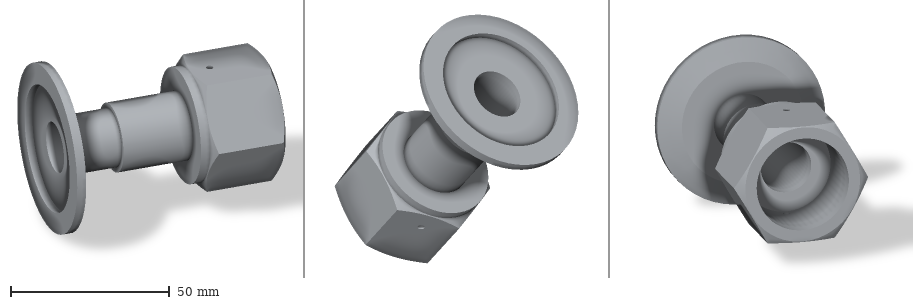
import cadquery as cq
import math


bore_diameter = 16.51
tube_diameter = 19.0

flange_diameter = 55.0
flange_recess_diameter = 41.2
flange_recess_depth = 2.6
flange_rim_thickness = 3.0
flange_taper_angle = 15.0
flange_thickness = 5.0
flange_taper_height = flange_thickness - flange_rim_thickness
flange_taper_width = flange_taper_height / math.tan(math.radians(flange_taper_angle))
flange_back_radius = flange_diameter / 2 - flange_taper_width

tube_end = 21.5
nut_start = 44.7
hex_start = 47.75
gland_end = 54.1
nut_end = 73.11

gland_diameter = 22.35
gland_head_diameter = 29.21
gland_head_length = 4.0
gland_shoulder = gland_end - gland_head_length

hex_across_flats = 38.1
hex_across_corners = hex_across_flats / math.cos(math.radians(30))
nut_collar_diameter = 37.59
nut_clearance_diameter = 22.61
nut_bore_diameter = 30.22
hex_chamfer_angle = 30.0
hex_chamfer_width = (hex_across_corners - nut_collar_diameter) / 2
hex_chamfer_length = hex_chamfer_width * math.tan(math.radians(hex_chamfer_angle))
vent_diameter = 2.29
vent_position = 54.5


def cylinder(diameter, start, end):
    """Solid cylinder about the Y axis between two stations."""
    return cq.Workplane("XZ", origin=(0, start, 0)).circle(diameter / 2).extrude(start - end)


def turned(profile):
    """Solid of revolution about the Y axis from (radius, station) points."""
    return cq.Workplane("XY").polyline(profile).close().revolve(360, (0, 0, 0), (0, 1, 0))


def make_flange():
    """Clamp flange with a tapered back, a recessed face and a hole for the tube."""
    blank = turned([
        (0, 0),
        (flange_diameter / 2, 0),
        (flange_diameter / 2, flange_rim_thickness),
        (flange_back_radius, flange_thickness),
        (0, flange_thickness),
    ])
    recess = cylinder(flange_recess_diameter, 0, flange_recess_depth)
    tube_hole = cylinder(tube_diameter, 0, flange_thickness)
    return blank.cut(recess).cut(tube_hole)


def make_tube():
    """Plain tube from the recess floor of the flange to the gland."""
    outside = cylinder(tube_diameter, flange_recess_depth, tube_end)
    return outside.cut(cylinder(bore_diameter, flange_recess_depth, tube_end))


def make_gland():
    """Bored sleeve whose wider head is held behind the shoulder of the nut."""
    sleeve = cylinder(gland_diameter, tube_end, gland_end)
    head = cylinder(gland_head_diameter, gland_shoulder, gland_end)
    return sleeve.union(head).cut(cylinder(bore_diameter, tube_end, gland_end))


def make_nut():
    """Hexagonal nut with conical end chamfers, a round collar and cross-drilled vents."""
    hexagon = (
        cq.Workplane("XZ", origin=(0, hex_start, 0))
        .polygon(6, hex_across_corners)
        .extrude(hex_start - nut_end)
    )
    chamfer_envelope = turned([
        (0, hex_start),
        (nut_collar_diameter / 2, hex_start),
        (hex_across_corners / 2, hex_start + hex_chamfer_length),
        (hex_across_corners / 2, nut_end - hex_chamfer_length),
        (nut_collar_diameter / 2, nut_end),
        (0, nut_end),
    ])
    collar = cylinder(nut_collar_diameter, nut_start, hex_start)
    body = hexagon.intersect(chamfer_envelope).union(collar)
    body = body.cut(cylinder(nut_clearance_diameter, nut_start, gland_shoulder))
    body = body.cut(cylinder(nut_bore_diameter, gland_shoulder, nut_end))
    vents = (
        cq.Workplane("XY", origin=(0, vent_position, 0))
        .circle(vent_diameter / 2)
        .extrude(hex_across_flats, both=True)
    )
    return body.cut(vents)


flange = make_flange()
tube = make_tube()
gland = make_gland()
nut = make_nut()

result = cq.Compound.makeCompound([flange.val(), tube.val(), gland.val(), nut.val()])